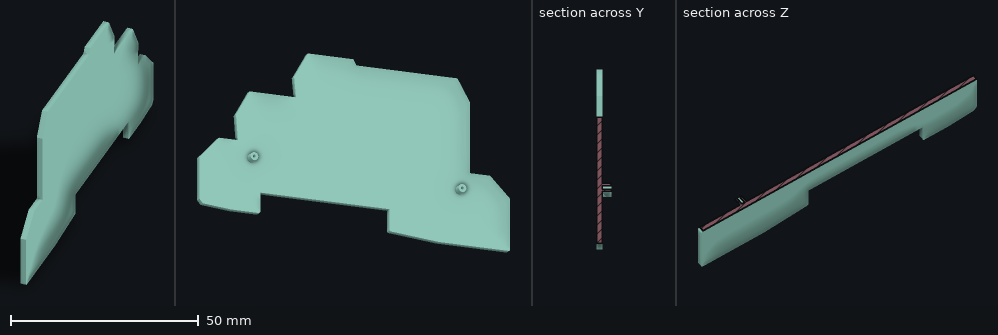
import cadquery as cq
import math

length = 90.0
height = 48.0
plate_thickness = 1.6
half_length = length / 2

upper_shoulder_z = 46.35
middle_step_z = 35.3
rear_step_z = 21.2
front_step_z = 20.3

recess_top_z = 7.4
recess_rear_y = 27.4
recess_front_y = -10.1
rear_foot_z = 1.6
foot_slope = math.tan(math.radians(5))
rear_slope_start_y = 35.8
rear_slope_end_y = 44.0
front_slope_start_y = -24.3
foot_corner_radius = 0.45

pin_length = 2.3
pin_diameter = 2.25
pin_bore = 0.8
pin_centers = [(30.1, 16.6), (-30.2, 15.1)]


def make_plate():
    rear_slope_rise = (rear_slope_end_y - rear_slope_start_y) * foot_slope
    front_slope_rise = (recess_front_y - front_slope_start_y) * foot_slope
    rear_outline = [
        (half_length, 3.5),
        (half_length, 15.2),
        (39.3, rear_step_z),
        (33.8, rear_step_z),
        (34.4, 28.3),
        (30.4, middle_step_z),
        (17.0, middle_step_z),
        (17.55, 40.9),
        (13.5, height),
    ]
    front_outline = [
        (0.4, height),
        (-0.5, upper_shoulder_z),
        (-29.8, upper_shoulder_z),
        (-33.5, 40.0),
        (-33.5, front_step_z),
        (-39.2, front_step_z),
        (-half_length, 14.7),
    ]
    front_foot = [
        (-half_length, 0),
        (front_slope_start_y, 0),
        (recess_front_y, front_slope_rise),
        (recess_front_y, recess_top_z),
    ]
    rear_foot = [
        (recess_rear_y, recess_top_z),
        (recess_rear_y, rear_foot_z),
        (rear_slope_start_y, rear_foot_z),
        (rear_slope_end_y, rear_foot_z + rear_slope_rise),
    ]
    outline = rear_outline + front_outline + front_foot + rear_foot
    plate = cq.Workplane("YZ").polyline(outline).close().extrude(plate_thickness)

    rounded_corners = [
        (-half_length, 0),
        (recess_front_y, front_slope_rise),
        (recess_rear_y, rear_foot_z),
    ]
    for y, z in rounded_corners:
        corner_edge = cq.selectors.NearestToPointSelector((plate_thickness / 2, y, z))
        plate = plate.edges("|X").edges(corner_edge).fillet(foot_corner_radius)
    return plate


def make_pins():
    return (
        cq.Workplane("YZ")
        .pushPoints(pin_centers)
        .circle(pin_diameter / 2)
        .circle(pin_bore / 2)
        .extrude(-pin_length)
    )


result = make_plate().union(make_pins())